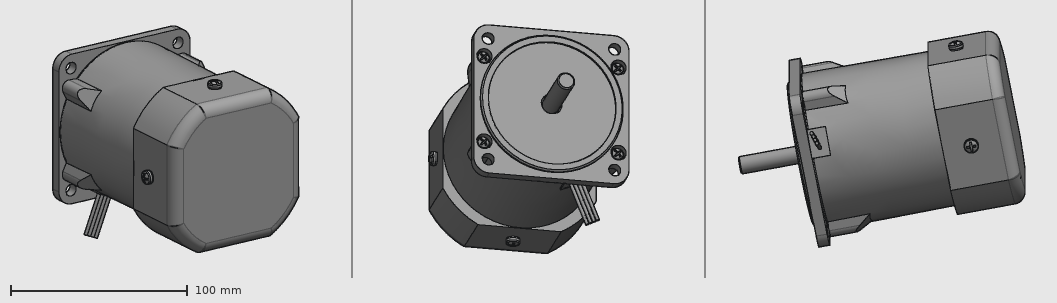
import cadquery as cq
import math


SHAFT_RADIUS = 5.0
SHAFT_CHAMFER = 0.8
PILOT_RADIUS = 41.5
PILOT_CHAMFER = 1.0
PILOT_RECESS_RADIUS = 37.0
PILOT_RECESS_DEPTH = 1.4
SHAFT_CLEARANCE_RADIUS = 6.0
SHAFT_CLEARANCE_DEPTH = 1.5

PILOT_FRONT = 35.0
FLANGE_FRONT = 37.0
FLANGE_BACK = 43.3
BODY_FRONT = 44.1
COVER_FRONT = 116.8
COVER_BACK = 157.0

FLANGE_SIDE = 90.1
FLANGE_CORNER_RADIUS = 9.0
MOUNT_HOLE_OFFSET = 36.7
MOUNT_HOLE_RADIUS = 3.5
SCREW_POCKET_Y = 39.0
SCREW_POCKET_Z = 25.9
SCREW_POCKET_RADIUS = 4.4
SCREW_POCKET_DEPTH = 4.7

NECK_RADIUS = 44.3
BODY_FRONT_RADIUS = 44.9
BODY_BACK_RADIUS = 44.3

RIB_RADIUS = 4.4
RIB_FLANK_ANGLE = 60.0
RIB_FLANK_LENGTH = 7.8
RIB_CREST_END = 58.7
RIB_END_SLOPE = 55.0

COVER_SIDE = 89.2
COVER_CORNER_RADIUS = 50.7
COVER_FILLET = 6.9

HEAD_RADIUS = 4.1
HEAD_BASE_RADIUS = 3.8
HEAD_HEIGHT = 4.4
HEAD_RIM_BOTTOM = 1.0
HEAD_RIM_TOP = 2.4
HEAD_DOME_BASE = 3.1
HEAD_DOME_EDGE_RADIUS = 3.8
HEAD_CROSS_LENGTH = 5.3
HEAD_CROSS_WIDTH = 1.1
HEAD_CROSS_DEPTH = 1.5
HEAD_EMBED = 0.8
POCKET_HEAD_SCALE = 0.85
POCKET_CROSS_ANGLE = 45.0
COVER_SCREW_X = 133.3

LEAD_ANGLE = 22.0
OUTLET_WIDTH = 16.6
OUTLET_HEIGHT = 44.9
OUTLET_BACK = 54.0
OUTLET_DEPTH = 9.4
WIRE_COUNT = 4
WIRE_RADIUS = 1.02
WIRE_PITCH = 2.0
WIRE_X_STEP = 0.6
WIRE_X_MIDDLE = 47.9
WIRE_START = 39.2
WIRE_END = 70.5


def disc(x_start, x_end, radius):
    """Round disc about the motor axis."""
    return cq.Workplane("YZ", origin=(x_start, 0, 0)).circle(radius).extrude(x_end - x_start)


def make_shaft():
    shaft = disc(0, FLANGE_BACK, SHAFT_RADIUS)
    return shaft.faces("<X").chamfer(SHAFT_CHAMFER)


def make_pilot():
    pilot = disc(PILOT_FRONT, FLANGE_FRONT, PILOT_RADIUS).faces("<X").chamfer(PILOT_CHAMFER)
    recess_floor = PILOT_FRONT + PILOT_RECESS_DEPTH
    return pilot.cut(disc(PILOT_FRONT, recess_floor, PILOT_RECESS_RADIUS))


def make_flange():
    flange = (
        cq.Workplane("YZ", origin=(FLANGE_FRONT, 0, 0))
        .rect(FLANGE_SIDE, FLANGE_SIDE)
        .extrude(FLANGE_BACK - FLANGE_FRONT)
        .edges("|X")
        .fillet(FLANGE_CORNER_RADIUS)
    )
    front = cq.Workplane("YZ", origin=(FLANGE_FRONT, 0, 0))
    mount_holes = (
        front.rect(2 * MOUNT_HOLE_OFFSET, 2 * MOUNT_HOLE_OFFSET, forConstruction=True)
        .vertices()
        .circle(MOUNT_HOLE_RADIUS)
        .extrude(FLANGE_BACK - FLANGE_FRONT)
    )
    return flange.cut(mount_holes)


def make_screw_pockets():
    return (
        cq.Workplane("YZ", origin=(PILOT_FRONT, 0, 0))
        .rect(2 * SCREW_POCKET_Y, 2 * SCREW_POCKET_Z, forConstruction=True)
        .vertices()
        .circle(SCREW_POCKET_RADIUS)
        .extrude(FLANGE_FRONT + SCREW_POCKET_DEPTH - PILOT_FRONT)
    )


def make_body():
    profile = [
        (FLANGE_BACK, 0),
        (FLANGE_BACK, NECK_RADIUS),
        (BODY_FRONT, NECK_RADIUS),
        (BODY_FRONT, BODY_FRONT_RADIUS),
        (COVER_FRONT, BODY_BACK_RADIUS),
        (COVER_FRONT, 0),
    ]
    return cq.Workplane("XY").polyline(profile).close().revolve(360, (0, 0, 0), (1, 0, 0))


def make_rib():
    """One rib with its radial midline along +Y: a rounded crest between two spreading flanks."""
    axis_radius = math.hypot(SCREW_POCKET_Y, SCREW_POCKET_Z)
    flank = math.radians(RIB_FLANK_ANGLE)
    crest = axis_radius + RIB_RADIUS
    tangent_y = axis_radius + RIB_RADIUS * math.cos(flank)
    tangent_z = RIB_RADIUS * math.sin(flank)
    foot_y = tangent_y - RIB_FLANK_LENGTH * math.sin(flank)
    foot_z = tangent_z + RIB_FLANK_LENGTH * math.cos(flank)

    end_slope = math.tan(math.radians(RIB_END_SLOPE))
    foot_end = RIB_CREST_END + (crest - foot_y) * end_slope
    rib = (
        cq.Workplane("YZ", origin=(BODY_FRONT, 0, 0))
        .moveTo(foot_y, -foot_z)
        .lineTo(tangent_y, -tangent_z)
        .threePointArc((crest, 0), (tangent_y, tangent_z))
        .lineTo(foot_y, foot_z)
        .close()
        .extrude(foot_end - BODY_FRONT)
    )
    sloped_end = (
        cq.Workplane("XY")
        .polyline([(RIB_CREST_END, crest), (foot_end, foot_y), (foot_end, crest)])
        .close()
        .extrude(2 * foot_z, both=True)
    )
    return rib.cut(sloped_end)


def make_ribs():
    rib_angle = math.degrees(math.atan2(SCREW_POCKET_Z, SCREW_POCKET_Y))
    ribs = cq.Workplane()
    for angle in (rib_angle, 180 - rib_angle, 180 + rib_angle, -rib_angle):
        ribs = ribs.add(make_rib().rotate((0, 0, 0), (1, 0, 0), angle))
    return ribs.combine()


def make_cover():
    length = COVER_BACK - COVER_FRONT
    square = cq.Workplane("YZ", origin=(COVER_FRONT, 0, 0)).rect(COVER_SIDE, COVER_SIDE).extrude(length)
    cover = square.intersect(disc(COVER_FRONT, COVER_BACK, COVER_CORNER_RADIUS))
    return cover.faces(">X").edges().fillet(COVER_FILLET)


def make_screw_head():
    """Pan head with a cross recess, standing on the XY plane along +Z."""
    dome_height = HEAD_HEIGHT - HEAD_DOME_BASE
    dome_radius = (HEAD_DOME_EDGE_RADIUS**2 + dome_height**2) / (2 * dome_height)
    half_angle = math.asin(HEAD_DOME_EDGE_RADIUS / dome_radius) / 2
    dome_middle = (
        dome_radius * math.sin(half_angle),
        HEAD_HEIGHT - dome_radius * (1 - math.cos(half_angle)),
    )
    head = (
        cq.Workplane("XZ")
        .moveTo(0, -HEAD_EMBED)
        .lineTo(HEAD_BASE_RADIUS, -HEAD_EMBED)
        .lineTo(HEAD_BASE_RADIUS, 0)
        .lineTo(HEAD_RADIUS, HEAD_RIM_BOTTOM)
        .lineTo(HEAD_RADIUS, HEAD_RIM_TOP)
        .lineTo(HEAD_DOME_EDGE_RADIUS, HEAD_DOME_BASE)
        .threePointArc(dome_middle, (0, HEAD_HEIGHT))
        .close()
        .revolve(360, (0, 0, 0), (0, 1, 0))
    )
    cross_floor = HEAD_HEIGHT - HEAD_CROSS_DEPTH
    arm = (
        cq.Workplane("XY", origin=(0, 0, cross_floor))
        .rect(HEAD_CROSS_LENGTH, HEAD_CROSS_WIDTH)
        .extrude(HEAD_CROSS_DEPTH)
    )
    cross = arm.union(arm.rotate((0, 0, 0), (0, 0, 1), 90))
    return head.cut(cross)


def make_cover_screws():
    top_head = make_screw_head().translate((COVER_SCREW_X, 0, COVER_SIDE / 2))
    heads = cq.Workplane()
    for quarter in range(4):
        heads = heads.add(top_head.rotate((0, 0, 0), (1, 0, 0), 90 * quarter))
    return heads.combine()


def make_pocket_screws():
    """Smaller heads facing -X on the floors of the flange pockets."""
    small_head = cq.Workplane(make_screw_head().val().scale(POCKET_HEAD_SCALE))
    turned_head = small_head.rotate((0, 0, 0), (0, 0, 1), POCKET_CROSS_ANGLE)
    facing_front = turned_head.rotate((0, 0, 0), (0, 1, 0), -90)
    pocket_floor = FLANGE_FRONT + SCREW_POCKET_DEPTH
    heads = cq.Workplane()
    for y in (-SCREW_POCKET_Y, SCREW_POCKET_Y):
        for z in (-SCREW_POCKET_Z, SCREW_POCKET_Z):
            heads = heads.add(facing_front.translate((pocket_floor, y, z)))
    return heads.combine()


def make_leads():
    """Outlet block and wires, laid out along -Z and then swung toward -Y."""
    outlet = cq.Workplane("XY").box(
        OUTLET_BACK - FLANGE_BACK, OUTLET_WIDTH, OUTLET_DEPTH, centered=(False, True, False)
    ).translate((FLANGE_BACK, 0, -OUTLET_HEIGHT))
    leads = outlet
    for index in range(WIRE_COUNT):
        step = index - (WIRE_COUNT - 1) / 2
        start = (WIRE_X_MIDDLE + step * WIRE_X_STEP, step * WIRE_PITCH, -WIRE_END)
        wire = cq.Workplane("XY", origin=start).circle(WIRE_RADIUS).extrude(WIRE_END - WIRE_START)
        leads = leads.union(wire)
    return leads.rotate((0, 0, 0), (1, 0, 0), -LEAD_ANGLE)


front_plate = make_pilot().union(make_flange()).cut(make_screw_pockets())
shaft_clearance = disc(PILOT_FRONT, FLANGE_FRONT + SHAFT_CLEARANCE_DEPTH, SHAFT_CLEARANCE_RADIUS)

result = (
    front_plate.cut(shaft_clearance)
    .union(make_shaft())
    .union(make_body())
    .union(make_ribs())
    .union(make_cover())
    .union(make_cover_screws())
    .union(make_pocket_screws())
    .union(make_leads())
)